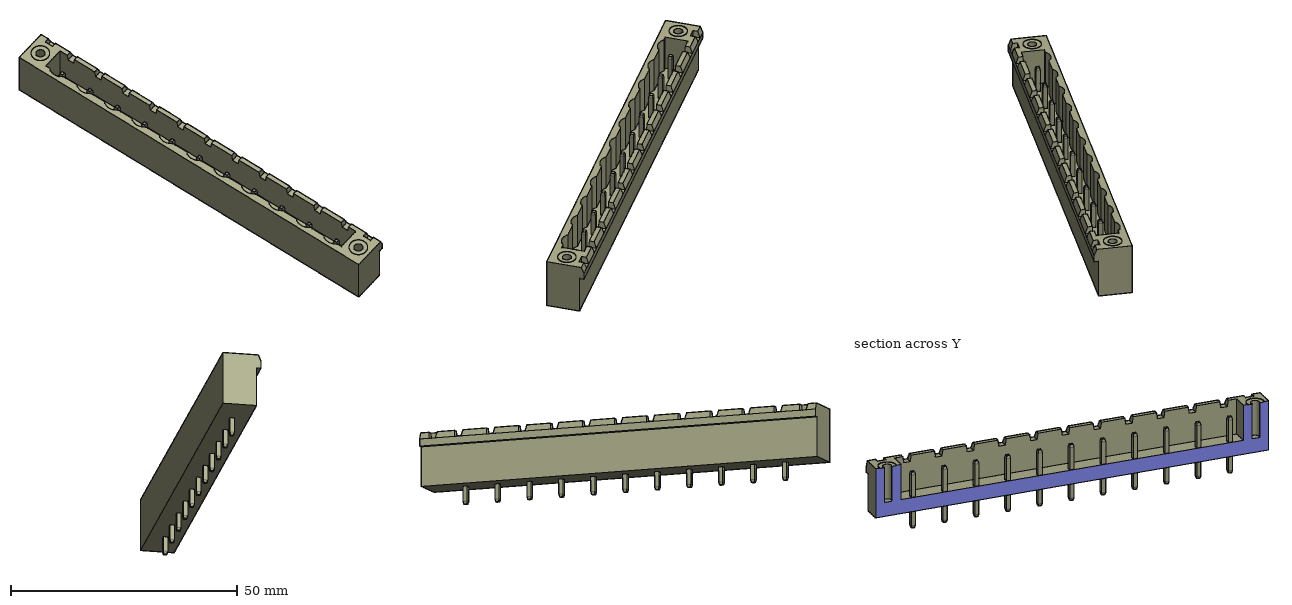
import cadquery as cq

row_y = 3.8
pin_count = 11
pitch = 7.62
pin_width = 1.0
pin_tip_chamfer = 0.15
pin_tip_length = 0.6
pin_below_body = 4.0
pin_above_floor = 6.0

housing_length = 94.4
housing_height = 12.0
housing_depth = 7.6

lip_overhang = 1.0
lip_height = 3.1
lip_chamfer_run = 0.6
lip_chamfer_drop = 1.5

cavity_length = 82.2
cavity_front_y = 1.7
cavity_back_y = 6.9
cavity_depth = 8.5
scallop_width = 3.8
scallop_sag = 0.8

notch_width = 2.0
notch_depth = 1.5
notch_side_run = 0.25

flange_hole_spacing = 88.4
flange_hole_diameter = 2.0
flange_hole_depth = 8.5
sleeve_diameter = 4.1
sleeve_recess = 0.1

lip_back_y = housing_depth + lip_overhang
cavity_floor_z = housing_height - cavity_depth
row_length = (pin_count - 1) * pitch
pin_positions = [i * pitch - row_length / 2 for i in range(pin_count)]
flange_positions = [-flange_hole_spacing / 2, flange_hole_spacing / 2]


def make_housing():
    """Side profile with the chamfered lip, extruded along X."""
    profile = [
        (0, 0),
        (housing_depth, 0),
        (housing_depth, housing_height - lip_height),
        (lip_back_y, housing_height - lip_height),
        (lip_back_y, housing_height - lip_chamfer_drop),
        (lip_back_y - lip_chamfer_run, housing_height),
        (0, housing_height),
    ]
    return cq.Workplane("YZ").polyline(profile).close().extrude(housing_length / 2, both=True)


def make_cavity():
    """Rectangular pocket whose front wall has a shallow arc opposite each pin."""
    half_length = cavity_length / 2
    half_scallop = scallop_width / 2
    outline = cq.Workplane("XY").workplane(offset=cavity_floor_z).moveTo(-half_length, cavity_front_y)
    for x in pin_positions:
        outline = outline.lineTo(x - half_scallop, cavity_front_y)
        outline = outline.threePointArc(
            (x, cavity_front_y - scallop_sag), (x + half_scallop, cavity_front_y)
        )
    outline = outline.lineTo(half_length, cavity_front_y)
    outline = outline.lineTo(half_length, cavity_back_y).lineTo(-half_length, cavity_back_y).close()
    return outline.extrude(cavity_depth)


def make_notch(x):
    """Cutter for a slot with sloping sides, running from the cavity line out through the back."""
    half_top = notch_width / 2
    half_floor = half_top - notch_side_run
    floor_z = housing_height - notch_depth
    section = [
        (x - half_floor, floor_z),
        (x + half_floor, floor_z),
        (x + half_top, housing_height),
        (x - half_top, housing_height),
    ]
    plane = cq.Workplane("XZ", origin=(0, cavity_back_y, 0))
    return plane.polyline(section).close().extrude(cavity_back_y - lip_back_y)


def make_flange_hole(x):
    """Cutter for a blind hole surrounded by a slightly recessed sleeve face."""
    top = cq.Workplane("XY", origin=(x, row_y, housing_height))
    hole = top.circle(flange_hole_diameter / 2).extrude(-flange_hole_depth)
    return hole.union(top.circle(sleeve_diameter / 2).extrude(-sleeve_recess))


def make_pin(x):
    """Square pin with tapered tips at both ends."""
    tip_width = pin_width - 2 * pin_tip_chamfer
    shank_bottom_z = pin_tip_length - pin_below_body
    shank_top_z = cavity_floor_z + pin_above_floor - pin_tip_length
    shank = cq.Workplane("XY", origin=(x, row_y, shank_bottom_z)).rect(pin_width, pin_width)
    shank = shank.extrude(shank_top_z - shank_bottom_z)
    for face in (">Z", "<Z"):
        tip = shank.faces(face).workplane(centerOption="CenterOfMass").rect(pin_width, pin_width)
        tip = tip.workplane(offset=pin_tip_length).rect(tip_width, tip_width).loft(combine=False)
        shank = shank.union(tip)
    return shank


result = make_housing().cut(make_cavity())
for position in pin_positions + flange_positions:
    result = result.cut(make_notch(position))
for position in flange_positions:
    result = result.cut(make_flange_hole(position))
for position in pin_positions:
    result = result.union(make_pin(position))